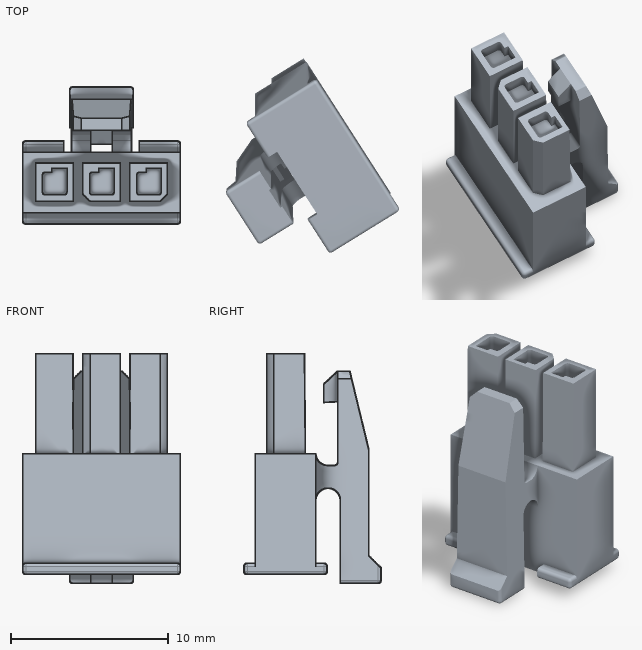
import cadquery as cq

OVERALL_HEIGHT = 14.57

BODY_WIDTH = 10.0
BODY_DEPTH = 3.85
BODY_TOP = 7.66
EDGE_ROUND = 0.2

FLANGE_OVERHANG = 0.71
FLANGE_HEIGHT = 0.71
FLANGE_GAP = 4.78

TOWER_COUNT = 3
TOWER_PITCH = 2.99
TOWER_WIDTH = 2.39
TOWER_TOP = 14.0
TOWER_FRONT = -1.2
TOWER_DEPTH = 2.46
TOWER_BACK_LEAN = 0.06
TOWER_CHAMFER = 0.47
KEYED_CORNERS = {1: -1, 2: 1}

SOCKET_LEFT = -0.76
SOCKET_WIDTH = 1.56
SOCKET_FRONT = -0.79
SOCKET_DEPTH = 1.7
KEY_WIDTH = 0.6
KEY_DEPTH = 0.26
SOCKET_ROUND = 0.19
SOCKET_DROP = 1.0

LATCH_BOTTOM = TOWER_TOP - OVERALL_HEIGHT
LATCH_TOP = 12.9
LATCH_BACK = 5.29
LATCH_FRONT_LOWER = 3.47
LATCH_FRONT_UPPER = 3.31
LATCH_TIP_BACK = 4.08
LATCH_SLOPE_START = 7.9
LATCH_FOOT_BACK = 6.06
FOOT_SLOPE_TOP = 1.18
LATCH_BASE_WIDTH = 4.05
LATCH_SHOULDER_WIDTH = 3.55
LATCH_CHAMFER = 0.5

BRIDGE_TOP = 6.92
BRIDGE_BODY_ROUND = BODY_TOP - BRIDGE_TOP
BRIDGE_LATCH_ROUND = 0.2
ARCH_TOP = 5.46
ARM_GAP = 1.35
GROOVE_DEPTH = 0.15

HOOK_TIP = 2.42
HOOK_TIP_TOP = 12.06
HOOK_TIP_BOTTOM = 10.9
HOOK_ROOT_BOTTOM = 10.94

BODY_BACK = BODY_DEPTH / 2
FLANGE_BACK = BODY_BACK + FLANGE_OVERHANG


def block(x_range, y_range, z_range):
    """Box between the given limits."""
    (x0, x1), (y0, y1), (z0, z1) = x_range, y_range, z_range
    return cq.Workplane("XY").box(x1 - x0, y1 - y0, z1 - z0, centered=False).translate((x0, y0, z0))


def extrude_across(profile, width):
    """Extrude a YZ profile to the given width, centred on X = 0."""
    return profile.close().extrude(width / 2, both=True)


def make_housing():
    flange = block(
        (-BODY_WIDTH / 2, BODY_WIDTH / 2), (-FLANGE_BACK, FLANGE_BACK), (0, FLANGE_HEIGHT)
    ).edges().fillet(EDGE_ROUND)
    latch_opening = block(
        (-FLANGE_GAP / 2, FLANGE_GAP / 2), (BODY_BACK, FLANGE_BACK), (0, FLANGE_HEIGHT)
    )
    block_above_rounds = block(
        (-BODY_WIDTH / 2, BODY_WIDTH / 2), (-BODY_BACK, BODY_BACK), (EDGE_ROUND, BODY_TOP)
    )
    return flange.cut(latch_opening).union(block_above_rounds)


def make_socket():
    """Socket cutter centred on its tower, with a keyed rear left corner."""
    right = SOCKET_LEFT + SOCKET_WIDTH
    back = SOCKET_FRONT + SOCKET_DEPTH
    socket = block((SOCKET_LEFT, right), (SOCKET_FRONT, back), (TOWER_TOP - SOCKET_DROP, TOWER_TOP))
    key = block(
        (SOCKET_LEFT, SOCKET_LEFT + KEY_WIDTH),
        (back - KEY_DEPTH, back),
        (TOWER_TOP - SOCKET_DROP, TOWER_TOP),
    )
    return socket.cut(key).edges("|Z and (<X or <Y)").fillet(SOCKET_ROUND)


def make_tower(keyed_side):
    """Tower centred on X = 0; keyed_side is -1, 1 or None for no chamfer."""
    back = TOWER_FRONT + TOWER_DEPTH
    profile = cq.Workplane("YZ").polyline([
        (TOWER_FRONT, BODY_TOP),
        (back, BODY_TOP),
        (back - TOWER_BACK_LEAN, TOWER_TOP),
        (TOWER_FRONT, TOWER_TOP),
    ])
    tower = extrude_across(profile, TOWER_WIDTH)
    if keyed_side:
        corner = "<X" if keyed_side < 0 else ">X"
        tower = tower.faces("<Y").edges(corner).chamfer(TOWER_CHAMFER)
    return tower.cut(make_socket())


def make_lever():
    """Latch lever and bridge, tapering in width towards the top."""
    arch_radius = (LATCH_FRONT_LOWER - BODY_BACK) / 2
    arch_base = ARCH_TOP - arch_radius
    profile = (
        cq.Workplane("YZ")
        .moveTo(LATCH_FRONT_LOWER, LATCH_BOTTOM)
        .lineTo(LATCH_FOOT_BACK, LATCH_BOTTOM)
        .lineTo(LATCH_FOOT_BACK, FOOT_SLOPE_TOP - (LATCH_FOOT_BACK - LATCH_BACK))
        .lineTo(LATCH_BACK, FOOT_SLOPE_TOP)
        .lineTo(LATCH_BACK, LATCH_SLOPE_START)
        .lineTo(LATCH_TIP_BACK, LATCH_TOP)
        .lineTo(LATCH_FRONT_UPPER, LATCH_TOP)
        .lineTo(LATCH_FRONT_UPPER, BRIDGE_TOP + BRIDGE_LATCH_ROUND)
        .radiusArc((LATCH_FRONT_UPPER - BRIDGE_LATCH_ROUND, BRIDGE_TOP), BRIDGE_LATCH_ROUND)
        .lineTo(BODY_BACK + BRIDGE_BODY_ROUND, BRIDGE_TOP)
        .radiusArc((BODY_BACK, BRIDGE_TOP + BRIDGE_BODY_ROUND), BRIDGE_BODY_ROUND)
        .lineTo(BODY_BACK, arch_base)
        .threePointArc((BODY_BACK + arch_radius, ARCH_TOP), (LATCH_FRONT_LOWER, arch_base))
    )
    lever = extrude_across(profile, LATCH_BASE_WIDTH)
    shoulder = LATCH_SHOULDER_WIDTH / 2
    taper = (
        cq.Workplane("XZ")
        .polyline([
            (-LATCH_BASE_WIDTH / 2, LATCH_BOTTOM),
            (LATCH_BASE_WIDTH / 2, LATCH_BOTTOM),
            (shoulder, LATCH_TOP - LATCH_CHAMFER),
            (shoulder - LATCH_CHAMFER, LATCH_TOP),
            (LATCH_CHAMFER - shoulder, LATCH_TOP),
            (-shoulder, LATCH_TOP - LATCH_CHAMFER),
        ])
        .close()
        .extrude(-LATCH_FOOT_BACK)
    )
    lever = lever.intersect(taper)
    lever = lever.faces(">Y").edges("not |X").fillet(EDGE_ROUND)
    lever = lever.faces("<Z").edges("not <Y").fillet(EDGE_ROUND)
    arm_gap = block(
        (-ARM_GAP / 2, ARM_GAP / 2),
        (BODY_BACK, LATCH_FRONT_LOWER + GROOVE_DEPTH),
        (LATCH_BOTTOM, BRIDGE_TOP + BRIDGE_BODY_ROUND),
    )
    return lever.cut(arm_gap)


def make_hook():
    profile = cq.Workplane("YZ").polyline([
        (LATCH_FRONT_UPPER, LATCH_TOP),
        (HOOK_TIP, HOOK_TIP_TOP),
        (HOOK_TIP, HOOK_TIP_BOTTOM),
        (LATCH_FRONT_UPPER, HOOK_ROOT_BOTTOM),
    ])
    return extrude_across(profile, ARM_GAP)


result = make_housing().union(make_lever()).union(make_hook())
for index in range(TOWER_COUNT):
    tower_x = (index - (TOWER_COUNT - 1) / 2) * TOWER_PITCH
    tower = make_tower(KEYED_CORNERS.get(index))
    result = result.union(tower.translate((tower_x, 0, 0)))